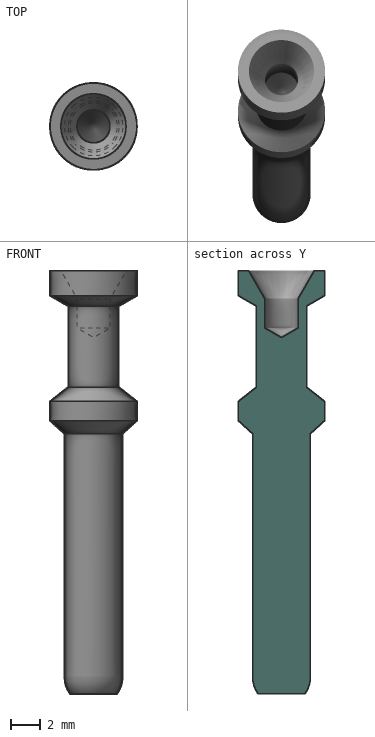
import cadquery as cq
import math

LENGTH = 29.1
FLANGE_RADIUS = 3.0
NECK_RADIUS = 1.75
SHAFT_RADIUS = 2.0

HEAD_RIM_HEIGHT = 1.72
HEAD_UNDERSIDE_ANGLE = 30.0

COLLAR_TOP_Z = 21.1
COLLAR_UPPER_CONE_HEIGHT = 1.0
COLLAR_RIM_HEIGHT = 1.3
COLLAR_LOWER_CONE_HEIGHT = 0.9

TIP_HEIGHT = 1.2

SINK_RADIUS = 2.25
HOLE_RADIUS = 1.13
SINK_ANGLE = 60.0
HOLE_WALL_DEPTH = 2.0
DRILL_POINT_ANGLE = 120.0


def cone_depth(radius_change, included_angle):
    """Axial length of a cone over the given change of radius."""
    return radius_change / math.tan(math.radians(included_angle / 2))


def make_pin():
    """Revolve the outer outline of the pin."""
    head_rim_z = LENGTH - HEAD_RIM_HEIGHT
    head_slope = math.tan(math.radians(HEAD_UNDERSIDE_ANGLE))
    neck_top_z = head_rim_z - (FLANGE_RADIUS - NECK_RADIUS) * head_slope
    collar_rim_top_z = COLLAR_TOP_Z - COLLAR_UPPER_CONE_HEIGHT
    collar_rim_bottom_z = collar_rim_top_z - COLLAR_RIM_HEIGHT
    shaft_top_z = collar_rim_bottom_z - COLLAR_LOWER_CONE_HEIGHT

    tip_end_radius = math.sqrt(SHAFT_RADIUS**2 - TIP_HEIGHT**2)
    half_angle = math.asin(TIP_HEIGHT / SHAFT_RADIUS) / 2
    tip_middle = (
        SHAFT_RADIUS * math.cos(half_angle),
        TIP_HEIGHT - SHAFT_RADIUS * math.sin(half_angle),
    )

    outline = (
        cq.Workplane("XZ")
        .lineTo(tip_end_radius, 0)
        .threePointArc(tip_middle, (SHAFT_RADIUS, TIP_HEIGHT))
        .lineTo(SHAFT_RADIUS, shaft_top_z)
        .lineTo(FLANGE_RADIUS, collar_rim_bottom_z)
        .lineTo(FLANGE_RADIUS, collar_rim_top_z)
        .lineTo(NECK_RADIUS, COLLAR_TOP_Z)
        .lineTo(NECK_RADIUS, neck_top_z)
        .lineTo(FLANGE_RADIUS, head_rim_z)
        .lineTo(FLANGE_RADIUS, LENGTH)
        .lineTo(0, LENGTH)
        .close()
    )
    return outline.revolve()


def make_hole():
    """Revolve the countersunk hole with its drill point."""
    sink_bottom_z = LENGTH - cone_depth(SINK_RADIUS - HOLE_RADIUS, SINK_ANGLE)
    wall_bottom_z = sink_bottom_z - HOLE_WALL_DEPTH
    point_z = wall_bottom_z - cone_depth(HOLE_RADIUS, DRILL_POINT_ANGLE)

    outline = (
        cq.Workplane("XZ")
        .moveTo(0, LENGTH)
        .lineTo(SINK_RADIUS, LENGTH)
        .lineTo(HOLE_RADIUS, sink_bottom_z)
        .lineTo(HOLE_RADIUS, wall_bottom_z)
        .lineTo(0, point_z)
        .close()
    )
    return outline.revolve()


result = make_pin().cut(make_hole())